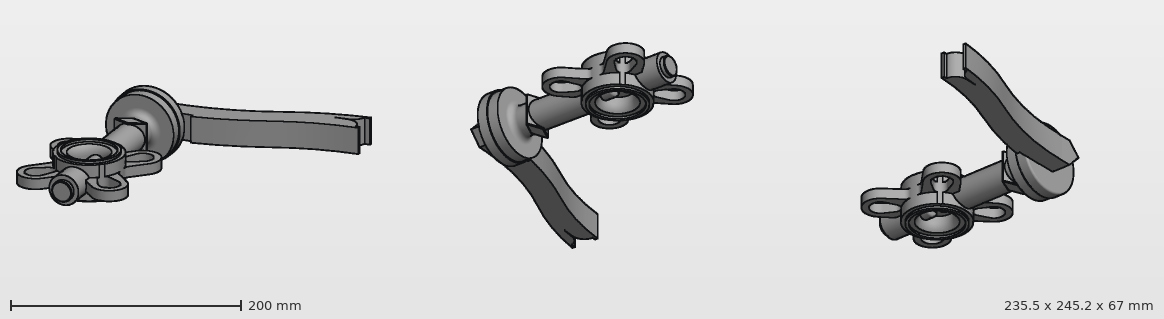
import cadquery as cq
import math


ring_radius = 31.6
ring_half_height = 16.7
rim_outer_radius = 27.7
rim_inner_radius = 24.8
rim_height = 2.2

port_radius = 19.5
throat_radius = 15.7
throat_z = 7.8
disc_half_thickness = 2.5
journal_radius = 8.5
journal_end_y = 3.5
journal_gap = 9.3
journal_fillet = 2.2

lug_offset = 35.0
lug_radius = 16.5
lug_thickness = 10.0
lug_root_fillet = 6.1
slot_outer_radius = 9.8
slot_inner_offset = 26.5
slot_inner_radius = 6.4
lug_count = 4

neck_radius = 14.0
neck_bottom_y = -53.2
cap_radius = 9.5
cap_bottom_y = -57.9
cap_chamfer = 0.7
flange_bottom_y = 106.2
flange_radius = 32.4
flange_fillet = 6.1
joint_y = 117.0

diamond_y = 87.3
diamond_half_length = 15.2
diamond_half_width = 6.9
diamond_half_height = 15.2
diamond_tip_half_width = 0.7
diamond_chamfer = 0.7

hub_diameter = 67.0
hub_top_y = 128.0
hub_fillet = 2.0

arm_half_height = 12.3
arm_nose_x = -16.2
arm_top_y = 147.0
arm_bend_start_x = 6.1
arm_step_x = 40.5
arm_step_y = 124.5
arm_inflection_x = 107.5
arm_end_x = 184.0
arm_end_top_y = 187.3
arm_end_bottom_y = 159.9
arm_end_lip = 3.0
arm_top_inflection = (arm_inflection_x, 167.7)
arm_top_outer_middle = (147.0, 181.0)
arm_bottom_inflection = (arm_inflection_x, 143.0)
arm_bottom_outer_middle = (147.0, 155.2)
arm_bottom_inner_middle = (78.2, 133.0)

split_tip = (155.5, 174.5)
upper_prong_start = (165.8, 175.5)
upper_prong_middle = (175.0, 178.8)
upper_prong_end_x = 179.0
lower_prong_start = (168.2, 174.8)
lower_prong_middle = (176.8, 171.5)
lower_prong_end_x = 180.5


def y_cylinder(radius, start_y, end_y):
    """A cylinder on the stem axis between two Y positions."""
    plane = cq.Workplane("XZ", origin=(0, start_y, 0))
    return plane.circle(radius).extrude(start_y - end_y)


def z_disc(radius, half_height):
    """A cylinder on the port axis, centred on the XY plane."""
    return cq.Workplane("XY").circle(radius).extrude(half_height, both=True)


def make_lug():
    """A lug pointing along +X, with concave fillets where it runs into the ring."""
    reach = lug_offset * math.sqrt(2)
    fillet_x = math.sqrt((ring_radius + lug_root_fillet) ** 2 - (lug_radius + lug_root_fillet) ** 2)
    fillet_y = lug_radius + lug_root_fillet
    ring_share = ring_radius / (ring_radius + lug_root_fillet)
    root_x = fillet_x * ring_share
    root_y = fillet_y * ring_share
    mid_angle = (math.atan2(fillet_y, fillet_x) + math.pi / 2) / 2
    mid_x = fillet_x - lug_root_fillet * math.cos(mid_angle)
    mid_y = fillet_y - lug_root_fillet * math.sin(mid_angle)
    outline = (
        cq.Workplane("XY")
        .moveTo(0, -root_y)
        .lineTo(root_x, -root_y)
        .threePointArc((mid_x, -mid_y), (fillet_x, -lug_radius))
        .lineTo(reach, -lug_radius)
        .threePointArc((reach + lug_radius, 0), (reach, lug_radius))
        .lineTo(fillet_x, lug_radius)
        .threePointArc((mid_x, mid_y), (root_x, root_y))
        .lineTo(0, root_y)
        .close()
    )
    return outline.extrude(lug_thickness / 2, both=True)


def make_slot():
    """A tapered slot along +X whose narrow end notches the ring over its full height."""
    outer_x = lug_offset * math.sqrt(2)
    inner_x = slot_inner_offset * math.sqrt(2)
    lean = (slot_outer_radius - slot_inner_radius) / (outer_x - inner_x)
    side = math.sqrt(1 - lean**2)
    outer_tangent = (outer_x - slot_outer_radius * lean, slot_outer_radius * side)
    inner_tangent = (inner_x - slot_inner_radius * lean, slot_inner_radius * side)
    outline = (
        cq.Workplane("XY")
        .moveTo(*inner_tangent)
        .lineTo(*outer_tangent)
        .threePointArc((outer_x + slot_outer_radius, 0), (outer_tangent[0], -outer_tangent[1]))
        .lineTo(inner_tangent[0], -inner_tangent[1])
        .threePointArc((inner_x - slot_inner_radius, 0), inner_tangent)
        .close()
    )
    return outline.extrude(ring_half_height, both=True)


def make_port():
    """The space of one port half: a mouth rounded down to the throat, then straight to the disc."""
    rise = ring_half_height - throat_z
    flare = port_radius - throat_radius
    seat_radius = (rise**2 + flare**2) / (2 * flare)
    half_turn = math.asin(rise / seat_radius) / 2
    mid_r = throat_radius + seat_radius * (1 - math.cos(half_turn))
    mid_z = throat_z + seat_radius * math.sin(half_turn)
    profile = (
        cq.Workplane("XZ")
        .moveTo(0, disc_half_thickness)
        .lineTo(throat_radius, disc_half_thickness)
        .lineTo(throat_radius, throat_z)
        .threePointArc((mid_r, mid_z), (port_radius, ring_half_height))
        .lineTo(0, ring_half_height)
        .close()
    )
    return profile.revolve(360, (0, 0, 0), (0, 1, 0))


def make_journals():
    """The two stem ends that stand out of the disc, facing each other across a gap."""
    lower_end_y = journal_end_y - journal_gap
    upper = y_cylinder(journal_radius, journal_end_y, port_radius)
    upper = upper.faces("<Y").edges().fillet(journal_fillet)
    lower = y_cylinder(journal_radius, -port_radius, lower_end_y)
    lower = lower.faces(">Y").edges().fillet(journal_fillet)
    return upper.union(lower)


def make_neck():
    """The round neck with its flange and the small cap at its lower end."""
    upper = y_cylinder(neck_radius, 0, flange_bottom_y)
    upper = upper.union(y_cylinder(flange_radius, flange_bottom_y, joint_y))
    corner = cq.selectors.RadiusNthSelector(0)
    upper = upper.faces("|Y").faces("<Y[1]").edges(corner).fillet(flange_fillet)
    lower = y_cylinder(neck_radius, neck_bottom_y, 0)
    cap = y_cylinder(cap_radius, cap_bottom_y, neck_bottom_y).faces("<Y").chamfer(cap_chamfer)
    return upper.union(lower).union(cap)


def make_diamond():
    """A diamond plate with blunt side tips and chamfered top and bottom edges."""
    tip = diamond_tip_half_width
    outline = [
        (-diamond_half_length, -tip),
        (0, -diamond_half_width),
        (diamond_half_length, -tip),
        (diamond_half_length, tip),
        (0, diamond_half_width),
        (-diamond_half_length, tip),
    ]
    plate = cq.Workplane("XY", origin=(0, diamond_y, 0)).polyline(outline).close()
    plate = plate.extrude(diamond_half_height, both=True)
    return plate.faces("|Z").chamfer(diamond_chamfer)


def make_valve_body():
    """The ring with its lugs, neck, diamond plate, closed disc and a port mouth on each side."""
    rim_half_height = ring_half_height + rim_height
    rim = z_disc(rim_outer_radius, rim_half_height)
    body = z_disc(ring_radius, ring_half_height).union(rim).union(make_neck()).union(make_diamond())
    lug = make_lug()
    slot = make_slot()
    angles = [45 + 360 / lug_count * index for index in range(lug_count)]
    for angle in angles:
        body = body.union(lug.rotate((0, 0, 0), (0, 0, 1), angle))
    for angle in angles:
        body = body.cut(slot.rotate((0, 0, 0), (0, 0, 1), angle))
    ring_face = cq.Workplane("XY", origin=(0, 0, ring_half_height))
    rim_recess = ring_face.circle(rim_inner_radius).extrude(rim_height)
    opening = make_port().union(rim_recess).cut(make_journals())
    return body.cut(opening).cut(opening.mirror("XY"))


def make_arm():
    """The lever arm: an S-shaped bar with a pointed nose and a forked end."""
    upper_lip_y = arm_end_top_y - arm_end_lip
    lower_lip_y = arm_end_bottom_y + arm_end_lip
    bar = (
        cq.Workplane("XY")
        .moveTo(arm_nose_x, hub_top_y)
        .lineTo(arm_nose_x, arm_top_y)
        .lineTo(arm_bend_start_x, arm_top_y)
        .tangentArcPoint(arm_top_inflection, relative=False)
        .threePointArc(arm_top_outer_middle, (arm_end_x, arm_end_top_y))
        .lineTo(arm_end_x, upper_lip_y)
        .lineTo(upper_prong_end_x, upper_lip_y)
        .threePointArc(upper_prong_middle, upper_prong_start)
        .lineTo(*split_tip)
        .lineTo(*lower_prong_start)
        .threePointArc(lower_prong_middle, (lower_prong_end_x, lower_lip_y))
        .lineTo(arm_end_x, lower_lip_y)
        .lineTo(arm_end_x, arm_end_bottom_y)
        .threePointArc(arm_bottom_outer_middle, arm_bottom_inflection)
        .threePointArc(arm_bottom_inner_middle, (arm_step_x, arm_step_y))
        .lineTo(arm_step_x, hub_top_y)
        .close()
        .extrude(arm_half_height, both=True)
    )
    nose = (
        cq.Workplane("XZ", origin=(0, hub_top_y, 0))
        .moveTo(arm_nose_x, 0)
        .lineTo(arm_nose_x + arm_half_height, arm_half_height)
        .lineTo(arm_end_x, arm_half_height)
        .lineTo(arm_end_x, -arm_half_height)
        .lineTo(arm_nose_x + arm_half_height, -arm_half_height)
        .close()
        .extrude(arm_end_top_y, both=True)
    )
    return bar.intersect(nose)


def make_lever():
    """The round hub resting on the neck flange, with the arm across its outer face."""
    hub = y_cylinder(hub_diameter / 2, joint_y, hub_top_y).faces(">Y").edges().fillet(hub_fillet)
    return hub.union(make_arm())


valve_body = make_valve_body()
lever = make_lever()
result = cq.Compound.makeCompound([valve_body.val(), lever.val()])